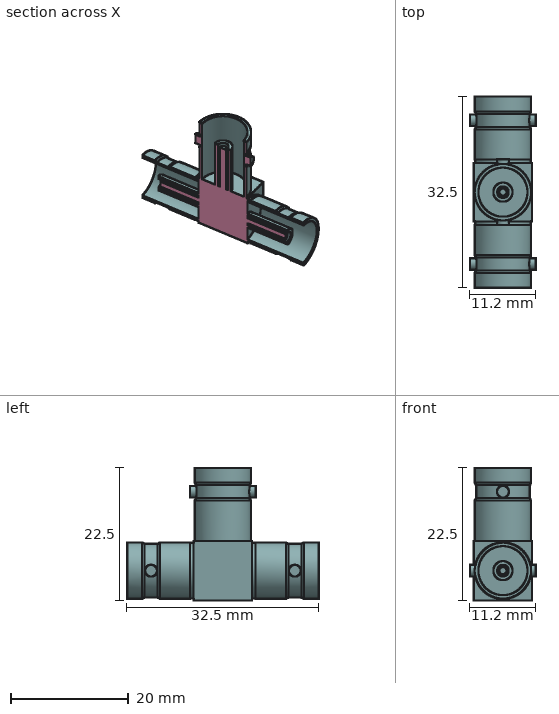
import cadquery as cq

block_side = 9.9
block_height = 10.15
side_reach = 16.25
top_reach = 17.45

barrel_radius = 9.6 / 2
groove_radius = 9.15 / 2
rim_length = 2.55
groove_bevel = 0.42
groove_length = 3.05
neck_radius = 9.5 / 2
neck_start = 10.7

pin_diameter = 2.0
pin_span = 11.18
pin_setback = 4.05

bore_radius = 4.15
insulator_radius = 1.63
insulator_setback = 3.22
contact_hole_radius = 0.98
contact_radius = 0.62
contact_recess = 0.4


def barrel(reach, has_neck):
    """Solid of revolution along Z, rim up, running from the block centre to the rim."""
    groove_top = reach - rim_length
    groove_bottom = groove_top - groove_length
    base_radius = neck_radius if has_neck else barrel_radius
    outline = cq.Workplane("XZ").lineTo(base_radius, 0)
    if has_neck:
        neck_top = reach - neck_start
        outline = outline.lineTo(neck_radius, neck_top).lineTo(barrel_radius, neck_top)
    return (
        outline
        .lineTo(barrel_radius, groove_bottom)
        .lineTo(groove_radius, groove_bottom + groove_bevel)
        .lineTo(groove_radius, groove_top - groove_bevel)
        .lineTo(barrel_radius, groove_top)
        .lineTo(barrel_radius, reach)
        .lineTo(0, reach)
        .close()
        .revolve(360, (0, 0, 0), (0, 1, 0))
    )


def bayonet_pins(reach):
    """One rod along X that forms both pins; the socket cavity removes its middle."""
    return (
        cq.Workplane("YZ")
        .center(0, reach - pin_setback)
        .circle(pin_diameter / 2)
        .extrude(pin_span / 2, both=True)
    )


def socket_body(reach, has_neck):
    return barrel(reach, has_neck).union(bayonet_pins(reach))


def socket_cavity(reach, floor):
    """Bore down to the block face, less the insulator and contact standing in it."""
    insulator_face = reach - insulator_setback
    contact_face = insulator_face - contact_recess
    bore = cq.Workplane("XY").workplane(offset=floor).circle(bore_radius).extrude(reach - floor)
    insulator = (
        cq.Workplane("XY").workplane(offset=floor)
        .circle(insulator_radius)
        .circle(contact_hole_radius)
        .extrude(insulator_face - floor)
    )
    contact = (
        cq.Workplane("XY").workplane(offset=floor)
        .circle(contact_radius)
        .extrude(contact_face - floor)
    )
    return bore.cut(insulator).cut(contact)


def aim_top(shape):
    """Keep the socket pointing up, with its pins turned to lie along Y."""
    return shape.rotate((0, 0, 0), (0, 0, 1), 90)


def aim_side(shape, direction):
    """Point the socket along Y (direction +1 or -1), with its pins along X."""
    return shape.rotate((0, 0, 0), (1, 0, 0), -90 * direction)


body = cq.Workplane("XY").box(block_side, block_side, block_height)
body = body.union(aim_top(socket_body(top_reach, has_neck=False)))
for direction in (1, -1):
    body = body.union(aim_side(socket_body(side_reach, has_neck=True), direction))

result = body.cut(aim_top(socket_cavity(top_reach, block_height / 2)))
for direction in (1, -1):
    result = result.cut(aim_side(socket_cavity(side_reach, block_side / 2), direction))